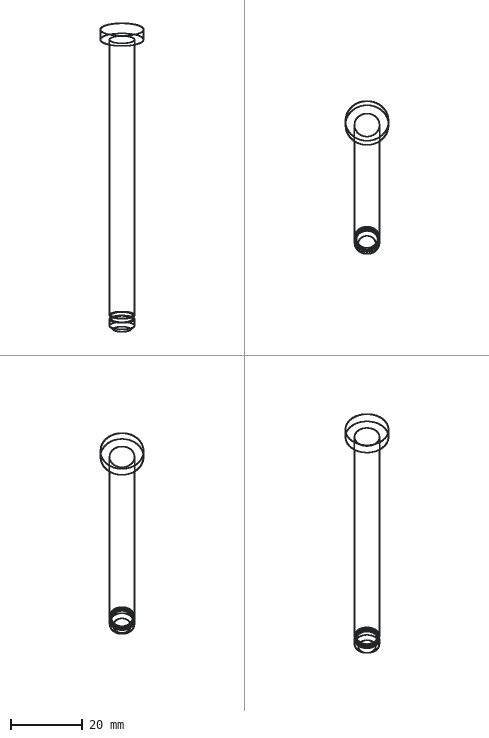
import cadquery as cq

total_length = 88.0
head_diameter = 12.1
head_height = 3.0
shank_diameter = 7.0

groove_diameter = 6.0
groove_width = 1.1
groove_bottom = 3.0

tip_chamfer_height = 1.1
tip_chamfer_inset = 1.1


def make_pin():
    """Shank with a flat cylindrical head on its upper end."""
    shank = cq.Workplane("XY").circle(shank_diameter / 2).extrude(total_length)
    head = (
        cq.Workplane("XY")
        .workplane(offset=total_length - head_height)
        .circle(head_diameter / 2)
        .extrude(head_height)
    )
    return shank.union(head)


def make_groove():
    """Ring of material removed by the groove."""
    return (
        cq.Workplane("XY")
        .workplane(offset=groove_bottom)
        .circle(shank_diameter / 2)
        .circle(groove_diameter / 2)
        .extrude(groove_width)
    )


pin = make_pin().faces("<Z").edges().chamfer(tip_chamfer_height, tip_chamfer_inset)
result = pin.cut(make_groove())